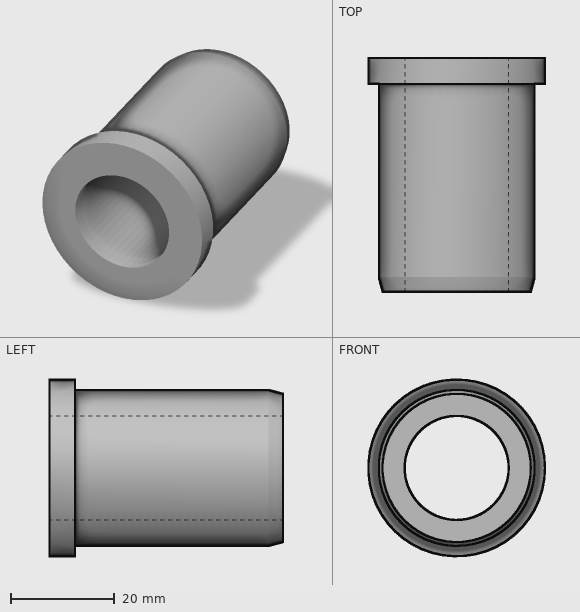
import cadquery as cq
import math

total_length = 45.0
flange_diameter = 34.0
flange_thickness = 5.0
body_diameter = 30.0
bore_diameter = 20.0
lead_in_length = 2.8
lead_in_angle = 15.0

flange_radius = flange_diameter / 2
body_radius = body_diameter / 2
bore_radius = bore_diameter / 2
nose_radius = body_radius - lead_in_length * math.tan(math.radians(lead_in_angle))
flange_face = total_length - flange_thickness

half_section = (
    cq.Workplane("XY")
    .moveTo(bore_radius, 0)
    .lineTo(nose_radius, 0)
    .lineTo(body_radius, lead_in_length)
    .lineTo(body_radius, flange_face)
    .lineTo(flange_radius, flange_face)
    .lineTo(flange_radius, total_length)
    .lineTo(bore_radius, total_length)
    .close()
)

result = half_section.revolve(360, (0, 0, 0), (0, 1, 0))